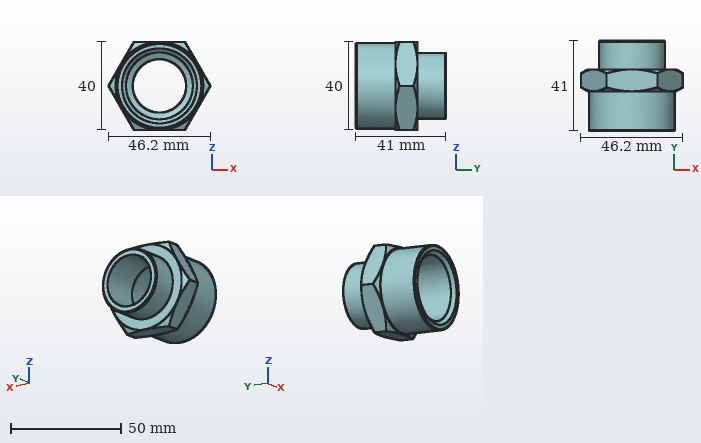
import cadquery as cq
import math

corner_width = 46.2
wide_length = 18.0
hex_length = 10.02
narrow_length = 13.0
wide_diameter = 39.0
narrow_diameter = 30.0
end_chamfer = 0.5
hex_face_diameter = 39.8
hex_chamfer_angle = 30.0

bore_diameter = 24.1
socket_diameter = 30.3
socket_mouth_diameter = 34.0
socket_mouth_depth = 1.85
socket_depth = 20.0
socket_floor_angle = 30.0

total_length = wide_length + hex_length + narrow_length
hex_end = wide_length + hex_length


def revolve_about_y(profile):
    """Revolve a closed list of (radius, y) points about the Y axis."""
    return cq.Workplane("XY").polyline(profile).close().revolve(360, (0, 0, 0), (0, 1, 0))


def cylinder_along_y(diameter, start, length):
    plane = cq.Plane(origin=(0, start, 0), xDir=(1, 0, 0), normal=(0, 1, 0))
    return cq.Workplane(plane).circle(diameter / 2).extrude(length)


def make_hexagon():
    """Hexagonal collar with corners on X and conical chamfers on both faces."""
    plane = cq.Plane(origin=(0, wide_length, 0), xDir=(1, 0, 0), normal=(0, 1, 0))
    prism = cq.Workplane(plane).polygon(6, corner_width).extrude(hex_length)
    face_radius = hex_face_diameter / 2
    outer_radius = corner_width / 2
    drop = (outer_radius - face_radius) * math.tan(math.radians(hex_chamfer_angle))
    envelope = revolve_about_y([
        (0, wide_length),
        (face_radius, wide_length),
        (outer_radius, wide_length + drop),
        (outer_radius, hex_end - drop),
        (face_radius, hex_end),
        (0, hex_end),
    ])
    return prism.intersect(envelope)


def make_passage():
    """Through bore with a countersunk socket and conical floor at the wide end."""
    mouth_radius = socket_mouth_diameter / 2
    socket_radius = socket_diameter / 2
    bore_radius = bore_diameter / 2
    floor_length = (socket_radius - bore_radius) * math.tan(math.radians(socket_floor_angle))
    return revolve_about_y([
        (0, 0),
        (mouth_radius, 0),
        (socket_radius, socket_mouth_depth),
        (socket_radius, socket_depth),
        (bore_radius, socket_depth + floor_length),
        (bore_radius, total_length),
        (0, total_length),
    ])


wide_end = cylinder_along_y(wide_diameter, 0, wide_length).faces("<Y").chamfer(end_chamfer)
narrow_end = cylinder_along_y(narrow_diameter, hex_end, narrow_length).faces(">Y").chamfer(end_chamfer)

body = make_hexagon().union(wide_end).union(narrow_end)
result = body.cut(make_passage())